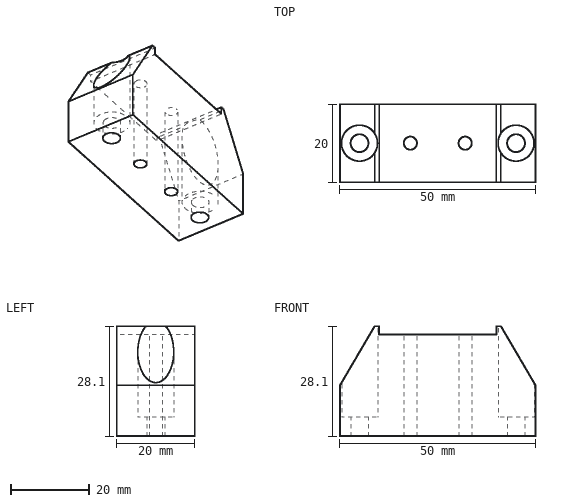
import cadquery as cq

length = 50.0
width = 20.0
height = 28.1

end_wall_height = 13.0
seat_length = 30.0
seat_depth = 2.1
lip_thickness = 1.15

seat_hole_diameter = 3.3
seat_hole_spacing = 14.0

mount_hole_diameter = 4.5
mount_hole_spacing = 40.0
counterbore_diameter = 9.2
counterbore_floor = 5.0

half_length = length / 2
half_seat = seat_length / 2
half_top = half_seat + lip_thickness
seat_height = height - seat_depth


def vertical_cylinders(diameter, spacing, bottom):
    """Pair of cylinders along X, running from the bottom level up to the top."""
    return (
        cq.Workplane("XY", origin=(0, 0, bottom))
        .pushPoints([(-spacing / 2, 0), (spacing / 2, 0)])
        .circle(diameter / 2)
        .extrude(height - bottom)
    )


body = (
    cq.Workplane("XZ")
    .moveTo(-half_length, 0)
    .lineTo(half_length, 0)
    .lineTo(half_length, end_wall_height)
    .lineTo(half_top, height)
    .lineTo(half_seat, height)
    .lineTo(half_seat, seat_height)
    .lineTo(-half_seat, seat_height)
    .lineTo(-half_seat, height)
    .lineTo(-half_top, height)
    .lineTo(-half_length, end_wall_height)
    .close()
    .extrude(width / 2, both=True)
)

seat_holes = vertical_cylinders(seat_hole_diameter, seat_hole_spacing, 0)
mount_holes = vertical_cylinders(mount_hole_diameter, mount_hole_spacing, 0)
counterbores = vertical_cylinders(counterbore_diameter, mount_hole_spacing, counterbore_floor)

result = body.cut(seat_holes).cut(mount_holes).cut(counterbores)